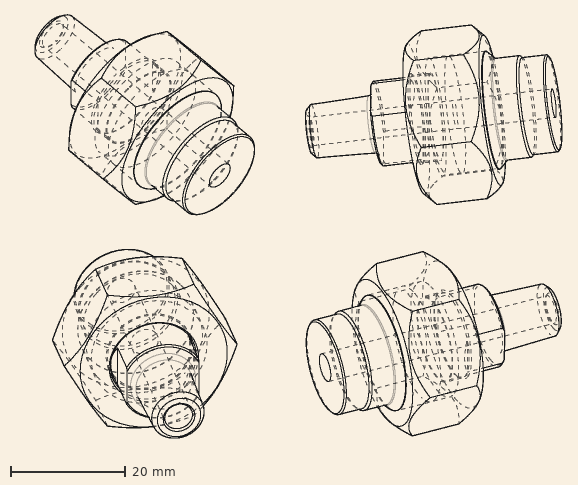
import cadquery as cq
import math

total_length = 43.5
bore_radius = 5.0 / 2
bore_chamfer = 0.35

nut_start = 19.0
nut_length = 13.55
nut_end = nut_start + nut_length
nut_across_flats = 27.0
nut_across_corners = nut_across_flats / math.cos(math.pi / 6)
nut_face_radius = 13.25
nut_hole_radius = 15.5 / 2
nut_hole_chamfer = 0.3
nut_wall = 3.5
cavity_start = nut_start + nut_wall
cavity_radius = 20.9 / 2

tip_chamfer = 0.83
tip_radius = 4.75
taper_end = 11.2
taper_end_radius = 5.1
collar_start = 12.05
collar_radius = 15.0 / 2
collar_chamfer = 0.3
flare_radius = 5.87
flats_width = 12.95
flats_end = 19.05
head_length = 3.5
joint = cavity_start + head_length

rim_end = 32.65
shoulder_radius = 18.0 / 2
cone_end = rim_end + cavity_radius - shoulder_radius
cone_fillet = 0.35
shoulder_end = 38.45
tail_radius = 17.2 / 2
step_chamfer = shoulder_radius - tail_radius
end_chamfer = 0.3


def turn(profile):
    """Revolve a closed (x, radius) profile about the X axis."""
    return profile.close().revolve(360, (0, 0, 0), (1, 0, 0))


def make_flat_cutter(side):
    """Block removed beside the collar, ending in a 45 degree run-out."""
    flat = flats_width / 2
    outside = nut_hole_radius
    runout = outside - flat
    return (
        cq.Workplane("XY", origin=(0, 0, -collar_radius))
        .polyline([
            (collar_start, side * flat),
            (flats_end, side * flat),
            (flats_end + runout, side * outside),
            (collar_start, side * outside),
        ])
        .close()
        .extrude(2 * collar_radius)
    )


def make_stem():
    stem = turn(
        cq.Workplane("XY")
        .moveTo(0, bore_radius + bore_chamfer)
        .lineTo(0, tip_radius - tip_chamfer)
        .lineTo(tip_chamfer, tip_radius)
        .lineTo(taper_end, taper_end_radius)
        .tangentArcPoint((collar_start, flare_radius), relative=False)
        .lineTo(collar_start, collar_radius - collar_chamfer)
        .lineTo(collar_start + collar_chamfer, collar_radius)
        .lineTo(cavity_start, collar_radius)
        .lineTo(cavity_start, cavity_radius)
        .lineTo(joint, cavity_radius)
        .lineTo(joint, bore_radius)
        .lineTo(bore_chamfer, bore_radius)
    )
    for side in (-1, 1):
        stem = stem.cut(make_flat_cutter(side))
    return stem


def make_nut():
    corner_radius = nut_across_corners / 2
    chamfer = corner_radius - nut_face_radius
    hexagon = (
        cq.Workplane("YZ", origin=(nut_start, 0, 0))
        .polygon(6, nut_across_corners)
        .extrude(nut_length)
    )
    envelope = turn(
        cq.Workplane("XY")
        .moveTo(nut_start, nut_hole_radius + nut_hole_chamfer)
        .lineTo(nut_start, nut_face_radius)
        .lineTo(nut_start + chamfer, corner_radius)
        .lineTo(nut_end - chamfer, corner_radius)
        .lineTo(nut_end, nut_face_radius)
        .lineTo(nut_end, cavity_radius)
        .lineTo(cavity_start, cavity_radius)
        .lineTo(cavity_start, nut_hole_radius)
        .lineTo(nut_start + nut_hole_chamfer, nut_hole_radius)
    )
    return hexagon.intersect(envelope)


def make_tailpiece():
    tangent_length = cone_fillet * math.tan(math.pi / 8)
    cone_step = tangent_length * math.sqrt(0.5)
    fillet_start = (cone_end - cone_step, shoulder_radius + cone_step)
    fillet_end = (cone_end + tangent_length, shoulder_radius)
    fillet_mid = (
        fillet_end[0] - cone_fillet * math.sin(math.pi / 8),
        shoulder_radius + cone_fillet * (1 - math.cos(math.pi / 8)),
    )
    return turn(
        cq.Workplane("XY")
        .moveTo(joint, bore_radius)
        .lineTo(joint, cavity_radius)
        .lineTo(rim_end, cavity_radius)
        .lineTo(*fillet_start)
        .threePointArc(fillet_mid, fillet_end)
        .lineTo(shoulder_end, shoulder_radius)
        .lineTo(shoulder_end + step_chamfer, tail_radius)
        .lineTo(total_length - end_chamfer, tail_radius)
        .lineTo(total_length, tail_radius - end_chamfer)
        .lineTo(total_length, bore_radius)
    )


stem = make_stem()
nut = make_nut()
tailpiece = make_tailpiece()

result = cq.Compound.makeCompound([stem.val(), nut.val(), tailpiece.val()])